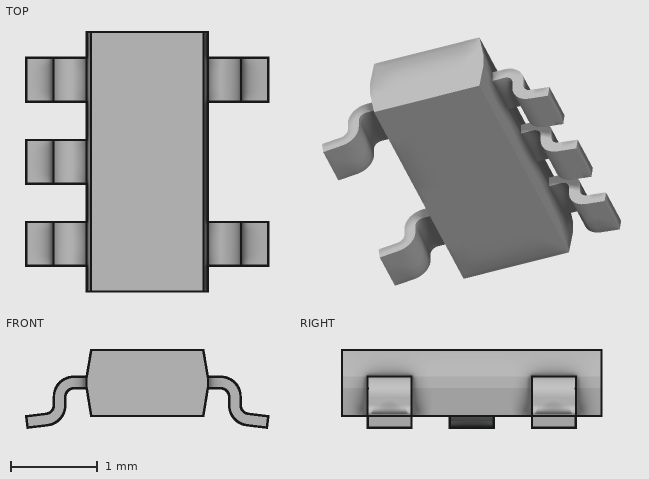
import cadquery as cq
import math

body_length = 3.0
body_width = 1.4
body_top_width = 1.295
overall_width = 2.8

upper_taper_height = 0.31
lead_thickness = 0.135
lower_taper_height = 0.32
standoff = 0.135

lead_width = 0.51
lead_pitch = 0.948
lead_reach = 1.08
inner_radius = 0.1
foot_slope = 7.0

body_top = standoff + lower_taper_height + lead_thickness + upper_taper_height
lead_bottom = standoff + lower_taper_height
lead_top = lead_bottom + lead_thickness
outer_radius = inner_radius + lead_thickness


def make_body():
    """Prism with tapered sides and an upright band where the leads meet it."""
    half_width = body_width / 2
    half_top = body_top_width / 2
    return (
        cq.Workplane("XZ")
        .polyline([
            (-half_top, standoff),
            (half_top, standoff),
            (half_width, lead_bottom),
            (half_width, lead_top),
            (half_top, body_top),
            (-half_top, body_top),
            (-half_width, lead_top),
            (-half_width, lead_bottom),
        ])
        .close()
        .extrude(body_length / 2, both=True)
    )


def polar(center, radius, degrees):
    """Point on a circle in the XZ plane, measured from +X towards +Z."""
    angle = math.radians(degrees)
    return (center[0] + radius * math.cos(angle), center[1] + radius * math.sin(angle))


def make_lead(side, y):
    """Gull-wing lead centred on y; side is +1 for the +X row, -1 for the -X row."""
    slope = math.radians(foot_slope)
    tip_top = (
        overall_width / 2,
        lead_thickness * math.cos(slope),
    )
    tip_bottom = (tip_top[0] - lead_thickness * math.sin(slope), 0)

    foot_center_x = lead_reach + inner_radius
    foot_bend_end_x = foot_center_x - inner_radius * math.sin(slope)
    foot_bend_end_z = tip_top[1] + (tip_top[0] - foot_bend_end_x) * math.tan(slope)
    foot_center = (foot_center_x, foot_bend_end_z + inner_radius * math.cos(slope))
    shoulder_center = (lead_reach - outer_radius, lead_top - outer_radius)

    foot_angle = 270 - foot_slope
    foot_middle = (180 + foot_angle) / 2
    root = body_width / 2
    lead = (
        cq.Workplane("XZ", origin=(0, y, 0))
        .moveTo(root, lead_top)
        .lineTo(*polar(shoulder_center, outer_radius, 90))
        .threePointArc(polar(shoulder_center, outer_radius, 45), polar(shoulder_center, outer_radius, 0))
        .lineTo(*polar(foot_center, inner_radius, 180))
        .threePointArc(
            polar(foot_center, inner_radius, foot_middle),
            polar(foot_center, inner_radius, foot_angle),
        )
        .lineTo(*tip_top)
        .lineTo(*tip_bottom)
        .lineTo(*polar(foot_center, outer_radius, foot_angle))
        .threePointArc(polar(foot_center, outer_radius, foot_middle), polar(foot_center, outer_radius, 180))
        .lineTo(*polar(shoulder_center, inner_radius, 0))
        .threePointArc(polar(shoulder_center, inner_radius, 45), polar(shoulder_center, inner_radius, 90))
        .lineTo(root, lead_bottom)
        .close()
        .extrude(lead_width / 2, both=True)
    )
    return lead if side > 0 else lead.mirror("YZ")


lead_places = [(-1, row * lead_pitch) for row in (-1, 0, 1)]
lead_places += [(1, row * lead_pitch) for row in (-1, 1)]

body = make_body()
leads = [make_lead(side, y) for side, y in lead_places]

result = cq.Compound.makeCompound([body.val(), *[lead.val() for lead in leads]])